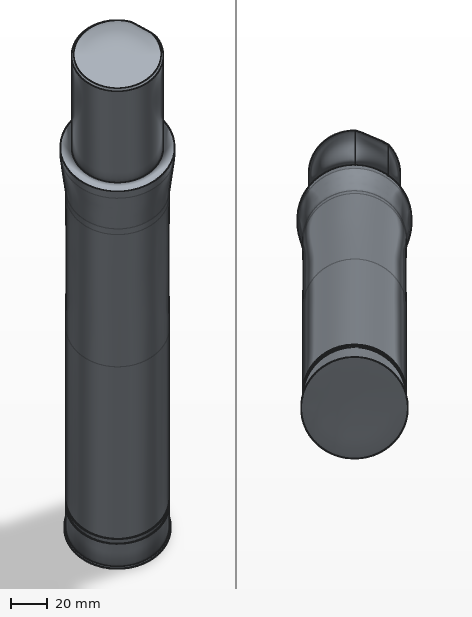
import cadquery as cq
import math

total_height = 411.0

lip_start = 2.0
lip_end = 2.5
foot_start = 3.3
groove_start = 22.5
groove_end = 26.7
waist_start = 176.0
waist_end = 290.0
collar_start = 295.0
collar_rim_start = 325.0
sleeve_top = 331.0

lip_diameter = 58.5
barrel_diameter = 56.7
groove_diameter = 56.0
waist_diameter = 56.0
collar_diameter = 62.5

rod_diameter = 50.0
rod_top_chamfer = 1.2
socket_depth = sleeve_top - collar_start
rod_bottom = sleeve_top - socket_depth
flat_distance = 23.0
flat_start = sleeve_top + 4.5


def make_sleeve():
    """Revolved sleeve with a lipped, slightly domed base, a flared collar and a blind socket for the rod."""
    lip_radius = lip_diameter / 2
    barrel_radius = barrel_diameter / 2
    groove_radius = groove_diameter / 2
    collar_radius = collar_diameter / 2
    waist_middle = (waist_diameter / 2, (waist_start + waist_end) / 2)
    dome_radius = (lip_radius**2 + lip_start**2) / (2 * lip_start)
    dome_middle_radius = lip_radius / 2
    dome_middle = (dome_middle_radius, dome_radius - math.sqrt(dome_radius**2 - dome_middle_radius**2))
    profile = (
        cq.Workplane("XZ")
        .moveTo(0, 0)
        .threePointArc(dome_middle, (lip_radius, lip_start))
        .lineTo(lip_radius, lip_end)
        .lineTo(barrel_radius, foot_start)
        .lineTo(barrel_radius, groove_start)
        .lineTo(groove_radius, groove_start)
        .lineTo(groove_radius, groove_end)
        .lineTo(barrel_radius, groove_end)
        .lineTo(barrel_radius, waist_start)
        .threePointArc(waist_middle, (barrel_radius, waist_end))
        .lineTo(barrel_radius, collar_start)
        .lineTo(collar_radius, collar_rim_start)
        .lineTo(collar_radius, sleeve_top)
        .lineTo(0, sleeve_top)
        .close()
    )
    body = profile.revolve(360, (0, 0), (0, 1))
    socket = cq.Workplane("XY").workplane(offset=rod_bottom).circle(rod_diameter / 2).extrude(socket_depth)
    return body.cut(socket)


def make_rod():
    """Round rod with a chamfered top and a long flat on its +Y side."""
    rod = (
        cq.Workplane("XY")
        .workplane(offset=rod_bottom)
        .circle(rod_diameter / 2)
        .extrude(total_height - rod_bottom)
        .faces(">Z")
        .chamfer(rod_top_chamfer)
    )
    cutter_depth = rod_diameter / 2
    flat_cutter = (
        cq.Workplane("YZ")
        .moveTo(flat_distance, flat_start)
        .lineTo(flat_distance + cutter_depth, flat_start - cutter_depth)
        .lineTo(flat_distance + cutter_depth, total_height)
        .lineTo(flat_distance, total_height)
        .close()
        .extrude(rod_diameter / 2, both=True)
    )
    return rod.cut(flat_cutter)


sleeve = make_sleeve()
rod = make_rod()
result = cq.Compound.makeCompound([sleeve.val(), rod.val()])